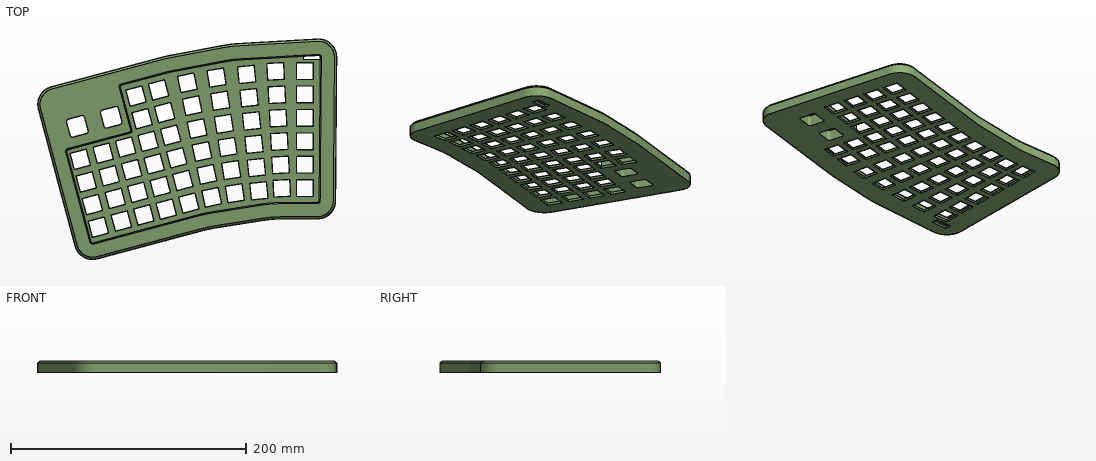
import cadquery as cq
import math

case_height = 10.0
top_chamfer = 2.0
rim_width = 14.1
pocket_corner_radius = 1.5
outer_corner_radius = rim_width + pocket_corner_radius
bend_radius = 100.0

outline_corners = [
    ((-91.4, -97.2), outer_corner_radius),
    ((17.8, -67.95), bend_radius),
    ((72.0, -59.3), bend_radius),
    ((126.0, -59.3), outer_corner_radius),
    ((127.25, 94.7), outer_corner_radius),
    ((36.8, 89.55), bend_radius),
    ((-18.4, 79.1), bend_radius),
    ((-130.6, 49.12), outer_corner_radius),
]

rim_chamfer = 1.0
plate_thickness = 2.0

key_opening = 14.0
key_pitch = 19.9
key_columns = [
    ((-75.5, -66.2), 15, 4),
    ((-56.0, -60.97), 15, 4),
    ((-36.9, -55.8), 15, 4),
    ((-17.8, -50.9), 15, 6),
    ((1.4, -45.7), 15, 6),
    ((20.8, -40.8), 12, 6),
    ((40.5, -37.35), 9, 6),
    ((60.9, -35.3), 6, 6),
    ((80.35, -33.15), 3, 6),
    ((99.9, -33.0), 0, 6),
]

shoulder_tilt = 15
shoulder_corner = (-46.5, 14.3)
shoulder_width = 58.4
shoulder_depth = 41.6
shoulder_reach = 100.0

window_size = 15.6
window_corner_radius = 2.0
window_centers = [(-93.4, 19.5), (-64.6, 27.2)]

slot_left = 98.9
slot_bottom = 76.4
slot_right = 114.0
slot_top = 82.0


def toward(start, end, distance):
    """Point at a distance from start on the way to end."""
    length = math.dist(start, end)
    return tuple(s + (e - s) * distance / length for s, e in zip(start, end))


def rounded_corner(before, corner, after, radius):
    """Start, middle and end of the arc that rounds a corner."""
    to_before = math.atan2(before[1] - corner[1], before[0] - corner[0])
    to_after = math.atan2(after[1] - corner[1], after[0] - corner[0])
    half_angle = abs(math.remainder(to_before - to_after, math.tau)) / 2
    setback = radius / math.tan(half_angle)
    start = toward(corner, before, setback)
    end = toward(corner, after, setback)
    chord_middle = ((start[0] + end[0]) / 2, (start[1] + end[1]) / 2)
    middle = toward(corner, chord_middle, radius / math.sin(half_angle) - radius)
    return start, middle, end


def case_outline():
    """Closed outline of straight sides joined by tangent arcs."""
    points = [point for point, _ in outline_corners]
    count = len(points)
    outline = cq.Workplane("XY")
    for i, (corner, radius) in enumerate(outline_corners):
        start, middle, end = rounded_corner(points[i - 1], corner, points[(i + 1) % count], radius)
        if i == 0:
            outline = outline.moveTo(*start)
        else:
            outline = outline.lineTo(*start)
        outline = outline.threePointArc(middle, end)
    return outline.close()


def square_bar(center, tilt, size):
    """Full-height square bar, turned about Z."""
    return (
        cq.Workplane("XY")
        .rect(size, size)
        .extrude(case_height)
        .rotate((0, 0, 0), (0, 0, 1), tilt)
        .translate((*center, 0))
    )


def shoulder_point(along, across):
    """Point reached from the shoulder corner along its two tilted sides."""
    tilt = math.radians(shoulder_tilt)
    return (
        shoulder_corner[0] + along * math.cos(tilt) - across * math.sin(tilt),
        shoulder_corner[1] + along * math.sin(tilt) + across * math.cos(tilt),
    )


def shoulder():
    """Block with one rounded corner that pokes into the pocket."""
    return (
        cq.Workplane("XY")
        .rect(-shoulder_reach, shoulder_reach, centered=False)
        .extrude(case_height)
        .edges("|Z")
        .fillet(pocket_corner_radius)
        .rotate((0, 0, 0), (0, 0, 1), shoulder_tilt)
        .translate((*shoulder_corner, 0))
    )


def pocket_prism():
    """Full-height prism of the pocket, with the two corners beside the shoulder rounded."""
    prism = case_outline().offset2D(-rim_width).extrude(case_height).cut(shoulder())
    for corner in (shoulder_point(-shoulder_width, 0), shoulder_point(0, shoulder_depth)):
        nearest = cq.selectors.NearestToPointSelector((*corner, case_height / 2))
        prism = prism.edges("|Z").edges(nearest).fillet(pocket_corner_radius)
    return prism


def key_openings():
    """All key openings, column by column."""
    openings = cq.Workplane("XY")
    for (x, y), tilt, key_count in key_columns:
        turn = math.radians(tilt)
        for row in range(key_count):
            center = (x - row * key_pitch * math.sin(turn), y + row * key_pitch * math.cos(turn))
            openings.add(square_bar(center, tilt, key_opening).val())
    return openings.combine()


def windows():
    """Rounded windows through the shoulder."""
    bars = cq.Workplane("XY")
    for center in window_centers:
        bar = square_bar((0, 0), 0, window_size).edges("|Z").fillet(window_corner_radius)
        bars.add(bar.rotate((0, 0, 0), (0, 0, 1), shoulder_tilt).translate((*center, 0)).val())
    return bars.combine()


def plate_slot():
    """Slot as deep as the plate that runs a little way under the pocket walls."""
    return (
        cq.Workplane("XY")
        .rect(slot_right - slot_left, slot_top - slot_bottom, centered=False)
        .extrude(plate_thickness)
        .translate((slot_left, slot_bottom, 0))
    )


def case_body():
    """Chamfered case with the key pocket sunk down to the plate."""
    body = case_outline().extrude(case_height).faces(">Z").chamfer(top_chamfer)
    body = body.cut(pocket_prism().translate((0, 0, plate_thickness)))
    pocket_rim = body.faces(">Z").val().innerWires()[0]
    return body.newObject(pocket_rim.Edges()).chamfer(rim_chamfer)


result = case_body().cut(key_openings()).cut(windows()).cut(plate_slot())